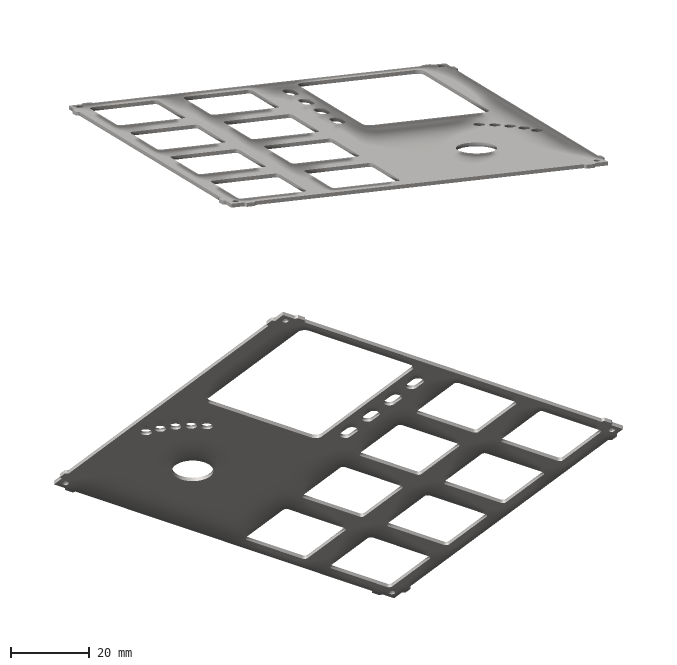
import cadquery as cq
import math

plate_size = 104.0
plate_thickness = 1.0
half_plate = plate_size / 2

nub_projection = 0.8
nub_base_width = 3.0
nub_crest_width = 2.2
nub_flank_radius = 1.5
nub_root_depth = 1.0
nub_corner_distance = 5.1
nub_offset = half_plate - nub_corner_distance

screw_hole_diameter = 1.75
screw_hole_inset = 2.1
screw_hole_offset = half_plate - screw_hole_inset

upper_feature_offset = 26.65
screen_center = (-upper_feature_offset, upper_feature_offset)
screen_width = 44.8
screen_height = 34.8
screen_corner_radius = 2.0

knob_center = (upper_feature_offset, upper_feature_offset)
knob_hole_diameter = 10.5
indicator_diameter = 3.0
indicator_count = 5
indicator_arc_radius = 23.0
indicator_arc_middle = 135.0
indicator_step = 10.0

slot_count = 4
slot_pitch = 10.0
slot_length = 6.0
slot_width = 3.0
slot_row_y = 4.75

key_columns = 4
key_rows = 2
key_pitch = 25.85
key_size = 18.9
key_corner_radius = 1.0
key_grid_center_y = -key_pitch


def centered_positions(count, pitch, middle=0.0):
    """Evenly spaced coordinates, symmetric about the middle."""
    return [middle + (i - (count - 1) / 2) * pitch for i in range(count)]


def disc(center, diameter):
    return cq.Workplane("XY").center(*center).circle(diameter / 2).extrude(plate_thickness)


def rounded_block(center, width, height, corner_radius):
    block = cq.Workplane("XY").center(*center).rect(width, height).extrude(plate_thickness)
    return block.edges("|Z").fillet(corner_radius)


def make_nub():
    """One nub on the +Y edge, rooted inside the plate and centred on X = 0."""
    half_base = nub_base_width / 2
    half_crest = nub_crest_width / 2
    crest_y = half_plate + nub_projection
    root_y = half_plate - nub_root_depth
    return (
        cq.Workplane("XY")
        .moveTo(-half_base, root_y)
        .lineTo(-half_base, half_plate)
        .radiusArc((-half_crest, crest_y), nub_flank_radius)
        .lineTo(half_crest, crest_y)
        .radiusArc((half_base, half_plate), nub_flank_radius)
        .lineTo(half_base, root_y)
        .close()
        .extrude(plate_thickness)
    )


def make_plate():
    plate = cq.Workplane("XY").rect(plate_size, plate_size).extrude(plate_thickness)
    nub = make_nub()
    for edge_angle in (0, 90, 180, 270):
        for side in (-1, 1):
            placed_nub = nub.translate((side * nub_offset, 0, 0))
            plate = plate.union(placed_nub.rotate((0, 0, 0), (0, 0, 1), edge_angle))
    return plate


def cut_screw_holes(plate):
    for x_side in (-1, 1):
        for y_side in (-1, 1):
            center = (x_side * screw_hole_offset, y_side * screw_hole_offset)
            plate = plate.cut(disc(center, screw_hole_diameter))
    return plate


def cut_screen(plate):
    return plate.cut(rounded_block(screen_center, screen_width, screen_height, screen_corner_radius))


def cut_knob_and_indicators(plate):
    plate = plate.cut(disc(knob_center, knob_hole_diameter))
    for degrees in centered_positions(indicator_count, indicator_step, indicator_arc_middle):
        angle = math.radians(degrees)
        x = knob_center[0] + indicator_arc_radius * math.cos(angle)
        y = knob_center[1] + indicator_arc_radius * math.sin(angle)
        plate = plate.cut(disc((x, y), indicator_diameter))
    return plate


def cut_slots(plate):
    for x in centered_positions(slot_count, slot_pitch, screen_center[0]):
        slot = cq.Workplane("XY").center(x, slot_row_y).slot2D(slot_length, slot_width)
        plate = plate.cut(slot.extrude(plate_thickness))
    return plate


def cut_keys(plate):
    for x in centered_positions(key_columns, key_pitch):
        for y in centered_positions(key_rows, key_pitch, key_grid_center_y):
            plate = plate.cut(rounded_block((x, y), key_size, key_size, key_corner_radius))
    return plate


result = make_plate()
result = cut_screw_holes(result)
result = cut_screen(result)
result = cut_knob_and_indicators(result)
result = cut_slots(result)
result = cut_keys(result)